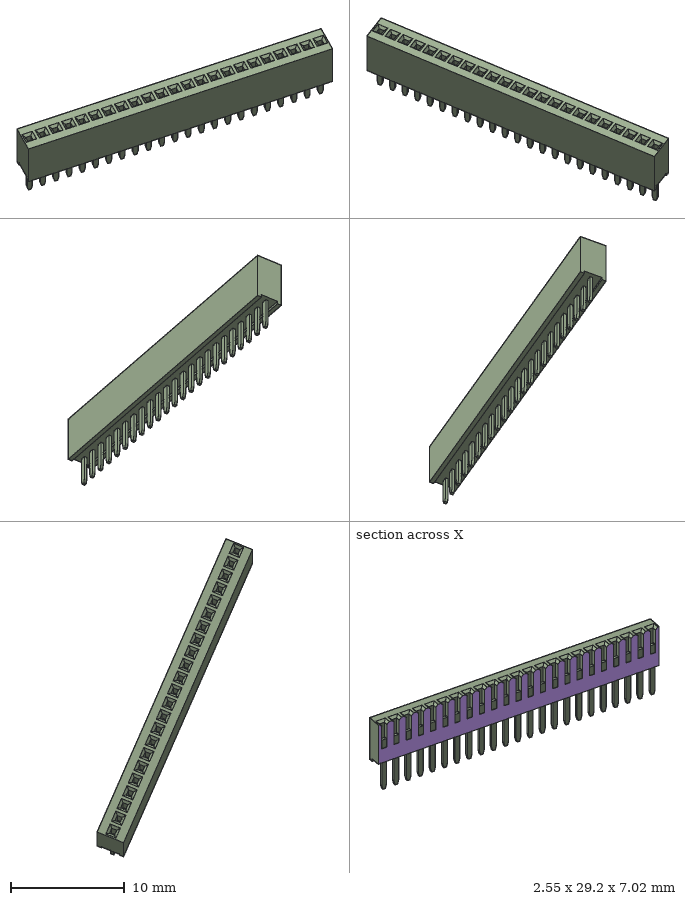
import cadquery as cq

contact_count = 23
length = 29.2
width = 2.55
housing_height = 4.45
pitch = length / contact_count

rail_width = 0.4
rail_height = 0.25

tail_length = 2.57
tail_width = 0.5
tail_thickness = 0.25
tip_width = 0.25
tip_length = 0.45
blade_depth = 1.75

funnel_length = 1.0
funnel_width = 0.95
funnel_depth = 0.23
socket_width = 0.47
socket_length = tail_width
socket_depth = 2.63

contact_places = [(0, (i - (contact_count - 1) / 2) * pitch) for i in range(contact_count)]


def make_housing():
    """Long block standing on two rails whose feet are at Z = 0."""
    block = cq.Workplane("XY").box(width, length, housing_height, centered=(True, True, False))
    channel = cq.Workplane("XY").box(
        width - 2 * rail_width, length, rail_height, centered=(True, True, False)
    )
    return block.cut(channel)


def make_socket():
    """Cutting shape: a rectangular hole with a funnel mouth at the housing top."""
    funnel = (
        cq.Workplane("XY", origin=(0, 0, housing_height))
        .rect(funnel_width, funnel_length)
        .workplane(offset=-funnel_depth)
        .rect(socket_width, socket_length)
        .loft(combine=True)
    )
    hole = (
        cq.Workplane("XY", origin=(0, 0, housing_height - socket_depth))
        .rect(socket_width, socket_length)
        .extrude(socket_depth - funnel_depth)
    )
    return funnel.union(hole)


def make_contact():
    """Flat contact: a blade rising into the socket and a tail with a tapered tip below."""
    half_width = tail_width / 2
    half_tip = tip_width / 2
    shoulder = tip_length - tail_length
    blade_top = housing_height - blade_depth
    outline = [
        (-half_width, blade_top),
        (half_width, blade_top),
        (half_width, shoulder),
        (half_tip, -tail_length),
        (-half_tip, -tail_length),
        (-half_width, shoulder),
    ]
    return cq.Workplane("YZ").polyline(outline).close().extrude(tail_thickness / 2, both=True)


def at_contacts(shape):
    """One copy of the shape at every contact position."""
    solid = shape.val()
    return cq.Workplane("XY").pushPoints(contact_places).eachpoint(lambda place: solid.moved(place))


result = make_housing().cut(at_contacts(make_socket())).union(at_contacts(make_contact()))